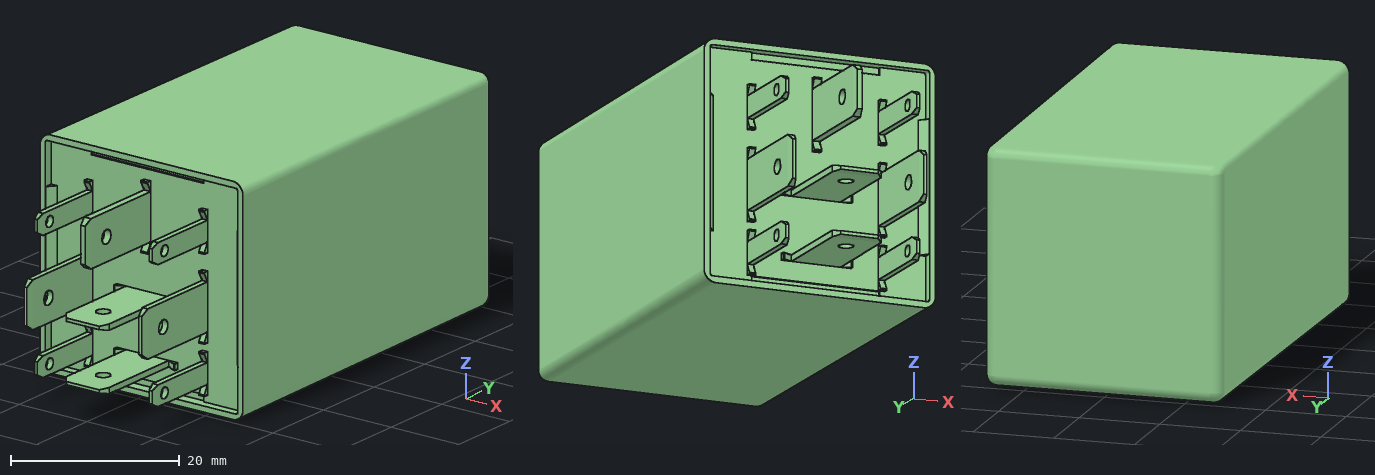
import cadquery as cq

case_width = 30.0
case_length = 49.95
blade_reach = 11.55
case_draft = 0.31
corner_radius = 1.55
back_fillet = 1.5

wall = 0.8
recess_width = case_width - 2 * wall
recess_depth = 1.15
recess_corner = 0.3

latch_length = 16.6
latch_width = 0.9
notch_depth = 0.3
wedge_height = 1.1

thin = 0.8
thick = 1.0
wide_blade = {"width": 6.35, "reach": blade_reach, "bevel": 0.75, "hole": 1.8, "hole_at": 7.55}
narrow_blade = {"width": 2.75, "reach": 9.55, "bevel": 0.55, "hole": 1.4, "hole_at": 7.3}
bevel_length = 0.9
tip_thinning = 0.2
horn_length = 1.35
horn_height = 0.6
horn_tip = 0.2
root_depth = 0.3

column_x = 8.5
upper_z = 7.4
middle_z = -2.15
cross_z = -2.5
lower_z = -10.5


def front_box(x_size, z_size, y_from, y_to):
    """Box centred on the Y axis, spanning y_from to y_to."""
    middle = (y_from + y_to) / 2
    return cq.Workplane("XY").box(x_size, y_to - y_from, z_size).translate((0, middle, 0))


def make_case():
    outline = cq.Sketch().rect(case_width, case_width).vertices().fillet(corner_radius)
    case = cq.Workplane("XZ").placeSketch(outline).extrude(-case_length, taper=case_draft)
    case = case.faces(">Y").edges().fillet(back_fillet)
    recess = front_box(recess_width, recess_width, 0, recess_depth).edges("|Y").fillet(recess_corner)
    return case.cut(recess)


def latch_notch(side):
    """Shallow notch in the base beside the top (+1) or bottom (-1) wall."""
    notch = front_box(latch_length, latch_width, recess_depth, recess_depth + notch_depth)
    return notch.translate((0, 0, side * (recess_width - latch_width) / 2))


def latch_wedge(side):
    """Ramp that rises from the base to the right (+1) or left (-1) wall."""
    wall_x = side * recess_width / 2
    foot_x = wall_x - side * latch_width
    ramp = [(foot_x, recess_depth), (wall_x, recess_depth), (wall_x, recess_depth - wedge_height)]
    return cq.Workplane("XY").polyline(ramp).close().extrude(latch_length / 2, both=True)


def make_blade(kind, thickness):
    """Upright blade on the Y axis, with a horn on the base at each edge."""
    half = kind["width"] / 2
    tip = -kind["reach"]
    shoulder = tip + bevel_length
    root = recess_depth + root_depth
    horn_out = half + horn_length
    horn_top = recess_depth - horn_height
    upper = [
        (tip, half - kind["bevel"]),
        (shoulder, half),
        (recess_depth, half),
        (horn_top, horn_out - horn_tip),
        (horn_top, horn_out),
        (root, horn_out),
    ]
    lower = [(y, -z) for y, z in reversed(upper)]
    face = cq.Workplane("YZ").polyline(upper + lower).close().extrude(thickness / 2, both=True)

    half_thickness = thickness / 2
    tip_half = half_thickness - tip_thinning
    edge = [
        (-tip_half, tip),
        (tip_half, tip),
        (half_thickness, shoulder),
        (half_thickness, root),
        (-half_thickness, root),
        (-half_thickness, shoulder),
    ]
    thinned = cq.Workplane("XY").polyline(edge).close().extrude(horn_out, both=True)
    hole = cq.Workplane("YZ").center(-kind["hole_at"], 0).circle(kind["hole"] / 2)
    return face.intersect(thinned).cut(hole.extrude(thickness, both=True))


result = make_case()
for side in (-1, 1):
    result = result.cut(latch_notch(side)).union(latch_wedge(side))

wide = make_blade(wide_blade, thin)
narrow = make_blade(narrow_blade, thin)
center = make_blade(wide_blade, thick)
cross = wide.rotate((0, 0, 0), (0, 1, 0), 90)

for x in (-column_x, column_x):
    result = result.union(narrow.translate((x, 0, upper_z)))
    result = result.union(wide.translate((x, 0, middle_z)))
    result = result.union(narrow.translate((x, 0, lower_z)))
result = result.union(center.translate((0, 0, upper_z)))
for z in (cross_z, lower_z):
    result = result.union(cross.translate((0, 0, z)))